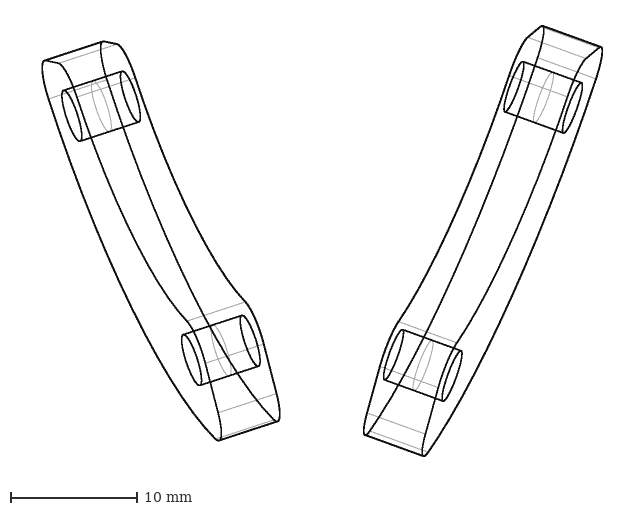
import cadquery as cq
import math

half_length = 19.08
thickness = 5.0
outer_radius = 31.67
band_width = 10.23
corner_radius = 3.0
hole_diameter = 4.25
hole_half_spacing = 12.75
hole_circle_radius = 25.4

inner_radius = outer_radius - band_width

corner_center_radius = outer_radius - corner_radius
half_angle = (
    math.asin((half_length - corner_radius) / corner_center_radius)
    + math.asin(corner_radius / corner_center_radius)
)
hole_angle = math.asin(hole_half_spacing / hole_circle_radius)


def ring_point(radius, angle):
    """Point at an angle from straight down, about the ring center at the origin."""
    return (radius * math.sin(angle), -radius * math.cos(angle))


def make_sector():
    """Ring sector with radial ends and rounded corners, centered on Y."""
    sector = (
        cq.Workplane("XZ")
        .moveTo(*ring_point(inner_radius, -half_angle))
        .threePointArc(ring_point(inner_radius, 0), ring_point(inner_radius, half_angle))
        .lineTo(*ring_point(outer_radius, half_angle))
        .threePointArc(ring_point(outer_radius, 0), ring_point(outer_radius, -half_angle))
        .close()
        .extrude(thickness / 2, both=True)
    )
    return sector.edges("|Y").fillet(corner_radius)


def make_holes():
    """Cutters for the two through holes, one near each end."""
    hole_centers = [ring_point(hole_circle_radius, side * hole_angle) for side in (-1, 1)]
    return (
        cq.Workplane("XZ")
        .pushPoints(hole_centers)
        .circle(hole_diameter / 2)
        .extrude(thickness, both=True)
    )


result = make_sector().cut(make_holes())